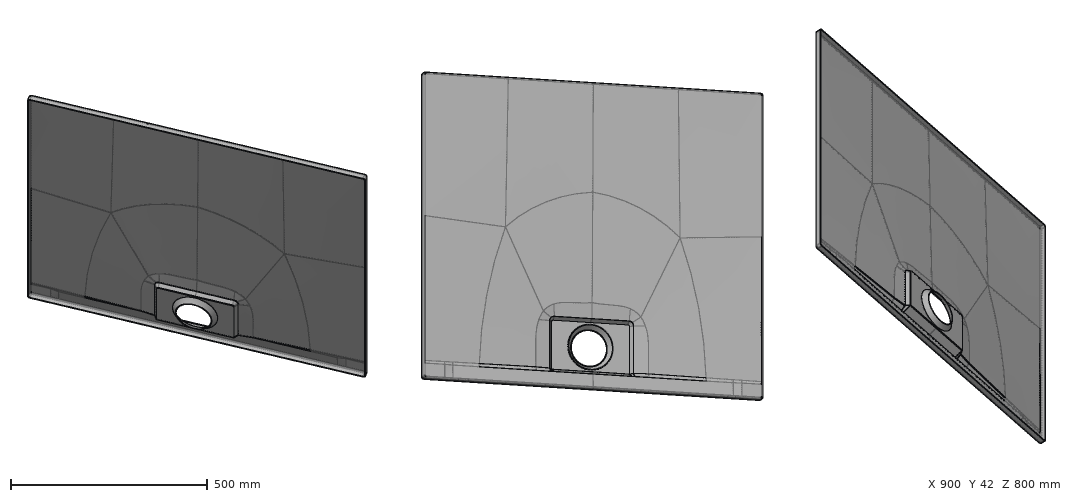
import cadquery as cq
import math


WIDTH = 900.0
LENGTH = 800.0
RIM_DEPTH = 17.0
SHEET = 3.0
RIM_RADIUS = 5.0
CORNER_RADIUS = 7.0
FLOOR_HALF_WIDTH = WIDTH / 2 - RIM_RADIUS
FLOOR_HALF_LENGTH = LENGTH / 2 - RIM_RADIUS

SIDE_END_DEPTH = 4.0
RIDGE_DEPTH = 8.0
LOWER_RIDGE_MIDDLE_DEPTH = 8.6
LOWER_RIDGE_END_DEPTH = 9.0
BLEND_DEPTH = 14.0

TOTAL_DEPTH = 42.0
SUMP_DEPTH = 29.5
SUMP_HALF_WIDTH = 103.0
SUMP_TOP = -222.0
SUMP_BOTTOM = -350.0
SUMP_WALL_RUN = 8.0
SUMP_CORNER_RADIUS = 4.0
SUMP_RIM_DEPTH = 18.0
DRAIN_Z = -286.0
CONE_BASE_RADIUS = 60.0
CONE_WAIST_RADIUS = 53.0
CONE_WAIST_DEPTH = 36.5
CONE_END_RADIUS = 48.5
DRAIN_RADIUS = 46.5

STEP_SIDE_Z = -354.0
STEP_RIDGE_Z = -352.0
LEDGE_Z = -361.0
LEDGE_FLAT_HALF_WIDTH = 371.0
LEDGE_RAMP_HALF_WIDTH = 393.0
LEDGE_CENTRE_DEPTH = 6.0


def point(x, z, depth):
    """Underside point at the given depth below the rim top."""
    return cq.Vector(x, -depth, z)


def line(start, end):
    return cq.Edge.makeLine(start, end)


def arc(start, middle, end):
    return cq.Edge.makeThreePointArc(start, middle, end)


def patch(edge_a, edge_b):
    """Sheet piece whose underside is ruled between two edges."""
    underside = cq.Face.makeRuledSurface(edge_a, edge_b)
    return cq.Solid.extrudeLinear(underside, cq.Vector(0, SHEET, 0))


ridge_top = point(225, FLOOR_HALF_LENGTH, SHEET)
corner_top = point(FLOOR_HALF_WIDTH, FLOOR_HALF_LENGTH, SHEET)
centre_top = point(0, FLOOR_HALF_LENGTH, SHEET)
side_middle = point(FLOOR_HALF_WIDTH, 24, SHEET)
side_bottom = point(FLOOR_HALF_WIDTH, STEP_SIDE_Z, SIDE_END_DEPTH)
ridge_knee = point(231, 9, RIDGE_DEPTH)
arch_crown = point(0, 114, RIDGE_DEPTH)
lower_ridge_end = point(300, STEP_RIDGE_Z, LOWER_RIDGE_END_DEPTH)
blend_corner = point(129, -203, BLEND_DEPTH)
blend_crown = point(0, -173, BLEND_DEPTH)
blend_end = point(149, SUMP_BOTTOM, BLEND_DEPTH)

corner_x = SUMP_HALF_WIDTH - SUMP_CORNER_RADIUS
corner_z = SUMP_TOP - SUMP_CORNER_RADIUS


def corner_point(angle, radius, depth):
    """Point on the sump corner, with the angle measured from +X towards +Z."""
    theta = math.radians(angle)
    return point(corner_x + radius * math.cos(theta), corner_z + radius * math.sin(theta), depth)


def face_corner(angle):
    return corner_point(angle, SUMP_CORNER_RADIUS, SUMP_DEPTH)


def rim_corner(angle):
    return corner_point(angle, SUMP_CORNER_RADIUS + SUMP_WALL_RUN, SUMP_RIM_DEPTH)


rim_crown = point(0, SUMP_TOP + SUMP_WALL_RUN, SUMP_RIM_DEPTH)
rim_end = point(SUMP_HALF_WIDTH + SUMP_WALL_RUN, SUMP_BOTTOM, SUMP_RIM_DEPTH)
sump_crown = point(0, SUMP_TOP, SUMP_DEPTH)
sump_end = point(SUMP_HALF_WIDTH, SUMP_BOTTOM, SUMP_DEPTH)
sump_foot = point(0, SUMP_BOTTOM, SUMP_DEPTH)

arch = arc(arch_crown, point(130, 78, RIDGE_DEPTH), ridge_knee)
lower_ridge = arc(ridge_knee, point(282, -180, LOWER_RIDGE_MIDDLE_DEPTH), lower_ridge_end)
blend_top_joint = point(101, -183, BLEND_DEPTH)
blend_side_joint = point(141, -226, BLEND_DEPTH)
blend_top = cq.Edge.makeSpline([blend_crown, point(58, -176, BLEND_DEPTH), blend_top_joint, blend_corner])
blend_side = cq.Edge.makeSpline([blend_corner, blend_side_joint, point(149, -269, BLEND_DEPTH), blend_end])


def split(edge, joint):
    """The two parts of an edge on either side of a joint lying on it."""
    first, last = edge.bounds()
    middle = edge.paramAt(joint)
    return edge.trim(first, middle), edge.trim(middle, last)


def floor_panels():
    """Gently dished floor panels running from the rim to the sump blend."""
    return [
        patch(line(centre_top, ridge_top), arch),
        patch(line(ridge_top, corner_top), line(ridge_knee, side_middle)),
        patch(lower_ridge, line(side_middle, side_bottom)),
        patch(blend_top, arch),
        patch(blend_side, lower_ridge),
    ]


def blend_panels():
    """Soft blend from the floor to the sump rim."""
    top_straight, top_corner = split(blend_top, blend_top_joint)
    side_corner, side_straight = split(blend_side, blend_side_joint)
    return [
        patch(line(rim_crown, rim_corner(90)), top_straight),
        patch(arc(rim_corner(90), rim_corner(67.5), rim_corner(45)), top_corner),
        patch(arc(rim_corner(45), rim_corner(22.5), rim_corner(0)), side_corner),
        patch(line(rim_corner(0), rim_end), side_straight),
    ]


def sump_panels():
    """Sloping walls of the sump and its flat face."""
    face_top = line(sump_crown, face_corner(90))
    face_arc = arc(face_corner(90), face_corner(45), face_corner(0))
    face_side = line(face_corner(0), sump_end)
    rim_arc = arc(rim_corner(90), rim_corner(45), rim_corner(0))
    outline = cq.Wire.assembleEdges(
        [face_top, face_arc, face_side, line(sump_end, sump_foot), line(sump_foot, sump_crown)]
    )
    face = cq.Solid.extrudeLinear(cq.Face.makeFromWires(outline), cq.Vector(0, SHEET, 0))
    return [
        patch(face_top, line(rim_crown, rim_corner(90))),
        patch(face_arc, rim_arc),
        patch(face_side, line(rim_corner(0), rim_end)),
        face,
    ]


def ledge_depth(x):
    """Depth of the ledge's inner edge: lowered in the middle, level at the ends."""
    ramp_width = LEDGE_RAMP_HALF_WIDTH - LEDGE_FLAT_HALF_WIDTH
    lowered_share = min(1.0, max(0.0, (LEDGE_RAMP_HALF_WIDTH - x) / ramp_width))
    return SHEET + (LEDGE_CENTRE_DEPTH - SHEET) * lowered_share


def ledge_inner(x):
    return point(x, LEDGE_Z, ledge_depth(x))


def ledge_panels():
    """Strip between the lower rim and the step."""
    stations = [0, LEDGE_FLAT_HALF_WIDTH, LEDGE_RAMP_HALF_WIDTH, FLOOR_HALF_WIDTH]
    panels = []
    for x_in, x_out in zip(stations, stations[1:]):
        inner_edge = line(ledge_inner(x_in), ledge_inner(x_out))
        rim_edge = line(point(x_in, -FLOOR_HALF_LENGTH, SHEET), point(x_out, -FLOOR_HALF_LENGTH, SHEET))
        panels.append(patch(inner_edge, rim_edge))
    return panels


def floor_edge_at(x):
    """Point on the straight lower edge of the outermost floor panel."""
    share = (x - lower_ridge_end.x) / (side_bottom.x - lower_ridge_end.x)
    return lower_ridge_end + (side_bottom - lower_ridge_end) * share


def step_panels():
    """Wall from the lower edge of floor and sump up to the ledge."""
    upper = [
        sump_foot,
        sump_end,
        rim_end,
        blend_end,
        lower_ridge_end,
        floor_edge_at(LEDGE_FLAT_HALF_WIDTH),
        floor_edge_at(LEDGE_RAMP_HALF_WIDTH),
        side_bottom,
    ]
    panels = []
    for start, end in zip(upper, upper[1:]):
        ledge_edge = line(ledge_inner(start.x), ledge_inner(end.x))
        panels.append(patch(line(start, end), ledge_edge))
    return panels


def rim():
    """Turned-down rim with rounded top edge, open where the floor sits."""
    frame = (
        cq.Workplane("XZ")
        .rect(WIDTH, LENGTH)
        .extrude(RIM_DEPTH)
        .edges("|Y")
        .fillet(CORNER_RADIUS)
        .faces(">Y")
        .edges()
        .fillet(RIM_RADIUS)
        .faces("<Y")
        .shell(-SHEET)
    )
    window = cq.Workplane("XZ").rect(2 * FLOOR_HALF_WIDTH, 2 * FLOOR_HALF_LENGTH).extrude(RIM_DEPTH)
    return frame.cut(window)


def drain_outlet():
    """Tapered drain collar around the hole in the sump face."""
    wall = CONE_END_RADIUS - DRAIN_RADIUS
    inner_face = SUMP_DEPTH - SHEET
    return (
        cq.Workplane("XY", origin=(0, 0, DRAIN_Z))
        .moveTo(CONE_BASE_RADIUS, -inner_face)
        .lineTo(CONE_BASE_RADIUS, -SUMP_DEPTH)
        .threePointArc((CONE_WAIST_RADIUS, -CONE_WAIST_DEPTH), (CONE_END_RADIUS, -TOTAL_DEPTH))
        .lineTo(DRAIN_RADIUS, -TOTAL_DEPTH)
        .threePointArc((CONE_WAIST_RADIUS - wall, -CONE_WAIST_DEPTH), (CONE_BASE_RADIUS - wall, -inner_face))
        .close()
        .revolve(360, (0, 0, 0), (0, 1, 0))
    )


def drain_opening():
    return cq.Workplane("XZ", origin=(0, 0, DRAIN_Z)).circle(CONE_BASE_RADIUS).extrude(TOTAL_DEPTH)


half_panels = floor_panels() + blend_panels() + sump_panels() + step_panels() + ledge_panels()
all_panels = half_panels + [panel.mirror("YZ") for panel in half_panels]
pan = cq.Workplane(all_panels[0].fuse(*all_panels[1:]))
pan = pan.cut(drain_opening(), clean=False)
result = pan.union(rim(), clean=False).union(drain_outlet(), clean=False)